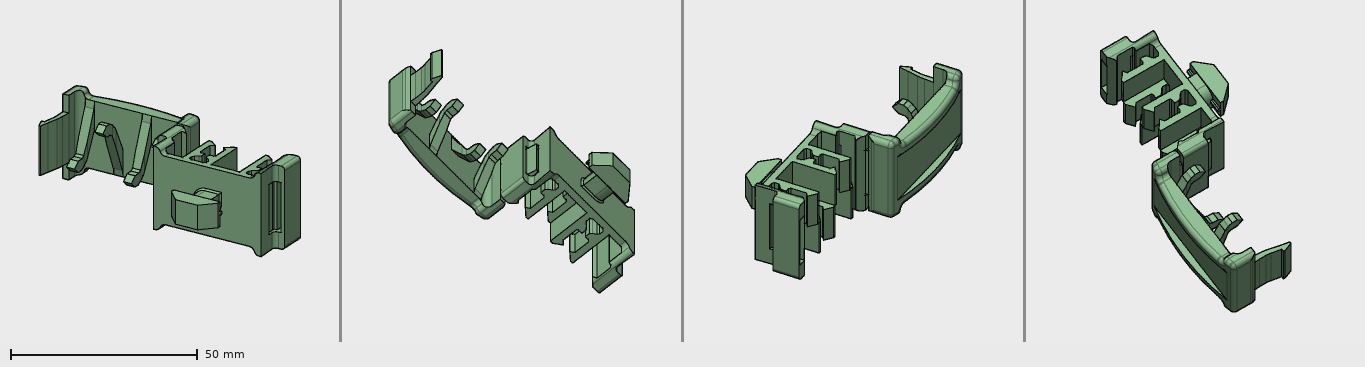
import cadquery as cq


PITCH = 9.0
MID_HALF_WIDTH = 10.05
OVERRUN = 1.0
TALL = 60.0

BASE_HALF_WIDTH = 12.2
BASE_HALF_LENGTH = 17.08
BASE_FLARE_START = 13.3
BASE_FLARE_END = 16.5
FLOOR = 2.0
RIM_HEIGHT = 15.05
LEDGE = 7.15
LIP_HEIGHT = 13.25
LIP_BOTTOM = 12.4
SHOULDER_BEVEL = 0.4

WALL_INNER = 14.85
WALL_UPPER_INNER = 15.9
LIP_TIP = 14.95
LIP_TOP = 17.1
FLOOR_BEVEL = 0.8
FLANGE_HALF_LENGTH = 20.1
FLANGE_BOTTOM = 7.05
FLANGE_CORNER = 1.1
FLANGE_ROOT_ROUND = 1.25
WALL_DRAFT = 0.23

SLOT_INNER = 17.05
SLOT_OUTER = 18.95
SLOT_ENTRY_OUTER = 19.65
SLOT_ENTRY_BOTTOM = 10.5
SLOT_HALF_WIDTH = 7.35
BARB_POCKET_INNER = 16.08
BARB_POCKET_BOTTOM = 4.3
BARB_POCKET_TOP = 8.1

NECK_HALF_LENGTH = 4.07
NECK_HALF_WIDTH = 3.2
NECK_ROUND = 3.7
NECK_FLARE = 0.5
HEAD_TOP = -5.25
HEAD_BOTTOM = -10.4
HEAD_STRAIGHT = 1.1
HEAD_HALF_LENGTH = 7.35
HEAD_TIP_HALF_LENGTH = 3.5
HEAD_HALF_WIDTH = 3.6
TOOTH_HEIGHT = 0.95
TOOTH_SIDE = 0.5
TOOTH_WIDTH = 1.2
TOOTH_TOP_WIDTH = 0.6
TOOTH_Z = 0.1

COVER_X = -36.6
COVER_TOP = 25.9
CROWN_RADIUS = 75.0
COVER_HALF_LENGTH = 20.0
COVER_HALF_WIDTH = 12.41
COVER_FLARE_START = 14.0
COVER_FLARE_END = 16.8
COVER_END_ROUND = 1.5
COVER_EDGE_ROUND = 1.4
CEILING = 20.65
CEILING_ROUND = 2.0
BACK_FLOOR = 23.8
BACK_HALF_WIDTH = 7.1

END_WALL_INNER = 17.15
END_WALL_BOTTOM = 15.72
END_WALL_FOOT = 19.1
END_BEVEL_TOP = (19.8, 16.95)
END_FACE_BOTTOM = 17.85

CLIP_HALF_WIDTH = 7.25
CLIP_BARB = 20.46
CLIP_BARB_TOP = 7.5
CLIP_BARB_BOTTOM = 6.9
CLIP_TIP = 4.4

FINGER_COUNT = 4
FINGER_ROOT_WIDTH = 2.9
FINGER_TIP_WIDTH = 2.55
FINGER_TAPER_TOP = 17.0
FINGER_TAPER_BOTTOM = 15.6
FINGER_LOWEST = 10.8


def block(x_min, x_max, y_min, y_max, half_width):
    """Box given by its X and Y limits, centred on Z = 0."""
    return cq.Workplane("XY").box(
        x_max - x_min, y_max - y_min, 2 * half_width
    ).translate(((x_min + x_max) / 2, (y_min + y_max) / 2, 0))


def mirror_x(body):
    return body.mirror("YZ")


def flared_prism(flare_start, flare_end, end_half_width, end, corner_round):
    """Tall prism with a dog-bone outline in X and Z: narrow middle, S-curved flares, wide ends."""
    flare_mid = ((flare_start + flare_end) / 2, (MID_HALF_WIDTH + end_half_width) / 2)
    quarter = (
        cq.Workplane("XZ", origin=(0, TALL / 2, 0))
        .moveTo(0, 0).lineTo(0, MID_HALF_WIDTH).lineTo(flare_start, MID_HALF_WIDTH)
        .tangentArcPoint(flare_mid, relative=False)
        .tangentArcPoint((flare_end, end_half_width), relative=False)
        .lineTo(end, end_half_width).lineTo(end, 0)
        .close().extrude(TALL)
    )
    half = quarter.union(quarter.mirror("XY"))
    prism = half.union(mirror_x(half)).clean()
    return prism.edges("|Y").edges(">X or <X").fillet(corner_round)


def base_end():
    """Right end wall with its outer flange and the retaining lip on its inner side."""
    leaned_wall = BASE_HALF_LENGTH - WALL_DRAFT
    return (
        cq.Workplane("XY", origin=(0, 0, -BASE_HALF_WIDTH))
        .moveTo(WALL_INNER - FLOOR_BEVEL, 0).lineTo(BASE_HALF_LENGTH, 0)
        .lineTo(leaned_wall, FLANGE_BOTTOM - FLANGE_ROOT_ROUND)
        .tangentArcPoint((leaned_wall + FLANGE_ROOT_ROUND, FLANGE_BOTTOM), relative=False)
        .lineTo(FLANGE_HALF_LENGTH, FLANGE_BOTTOM).lineTo(FLANGE_HALF_LENGTH, RIM_HEIGHT)
        .lineTo(LIP_TOP, RIM_HEIGHT).lineTo(LIP_TIP, LIP_HEIGHT)
        .lineTo(WALL_UPPER_INNER, LIP_BOTTOM).lineTo(WALL_UPPER_INNER, LEDGE + SHOULDER_BEVEL)
        .lineTo(WALL_UPPER_INNER - SHOULDER_BEVEL, LEDGE).lineTo(WALL_INNER, LEDGE)
        .lineTo(WALL_INNER, FLOOR + FLOOR_BEVEL).lineTo(WALL_INNER - FLOOR_BEVEL, FLOOR)
        .close().extrude(2 * BASE_HALF_WIDTH)
    )


def snap_slot():
    slot = block(SLOT_INNER, SLOT_OUTER, BARB_POCKET_BOTTOM, RIM_HEIGHT + OVERRUN, SLOT_HALF_WIDTH)
    entry = block(SLOT_INNER, SLOT_ENTRY_OUTER, SLOT_ENTRY_BOTTOM, RIM_HEIGHT + OVERRUN, SLOT_HALF_WIDTH)
    pocket = block(BARB_POCKET_INNER, SLOT_OUTER, BARB_POCKET_BOTTOM, BARB_POCKET_TOP, SLOT_HALF_WIDTH)
    return slot.union(entry).union(pocket)


def half_rib(center, side, z_start):
    """Rib profile on one side of its flat middle plane, over half the width of the base."""
    root = FLOOR - OVERRUN
    stem = 2.05
    profile = [
        (0, root), (2.6, root), (2.6, FLOOR), (1.85, 2.5), (1.85, 3.7), (2.3, 4.3), (3.3, 5.0), (3.8, 5.6),
        (3.8, LEDGE), (stem + SHOULDER_BEVEL, LEDGE), (stem, LEDGE + SHOULDER_BEVEL), (stem, LIP_BOTTOM),
        (3.2, LIP_HEIGHT), (0.9, RIM_HEIGHT), (0, RIM_HEIGHT),
    ]
    return (
        cq.Workplane("XY", origin=(center, 0, z_start))
        .polyline([(side * x, y) for x, y in profile]).close()
        .extrude(MID_HALF_WIDTH)
    )


def neck_outline(growth):
    """Rectangle with two opposite corners rounded, so that the foot can be turned to lock."""
    half_length = NECK_HALF_LENGTH + growth
    half_width = NECK_HALF_WIDTH + growth
    rounding = NECK_ROUND + growth
    return (
        cq.Workplane("XZ")
        .moveTo(-half_length, -half_width).lineTo(half_length - rounding, -half_width)
        .tangentArcPoint((half_length, rounding - half_width), relative=False)
        .lineTo(half_length, half_width).lineTo(rounding - half_length, half_width)
        .tangentArcPoint((-half_length, half_width - rounding), relative=False)
        .close()
    )


def foot_neck():
    """Neck of the foot, flaring out where it meets the floor."""
    flare = neck_outline(NECK_FLARE).extrude(NECK_FLARE, taper=45)
    return neck_outline(0).extrude(-HEAD_TOP).union(flare)


def foot_head():
    """Head of the foot, with slanted ends."""
    shoulder = HEAD_TOP - HEAD_STRAIGHT
    return (
        cq.Workplane("XY", origin=(0, 0, -HEAD_HALF_WIDTH))
        .moveTo(-HEAD_HALF_LENGTH, HEAD_TOP).lineTo(HEAD_HALF_LENGTH, HEAD_TOP)
        .lineTo(HEAD_HALF_LENGTH, shoulder).lineTo(HEAD_TIP_HALF_LENGTH, HEAD_BOTTOM)
        .lineTo(-HEAD_TIP_HALF_LENGTH, HEAD_BOTTOM).lineTo(-HEAD_HALF_LENGTH, shoulder)
        .close().extrude(2 * HEAD_HALF_WIDTH)
    )


def foot_tooth():
    """Small bevelled ridge along the top of the head."""
    return (
        cq.Workplane("YZ", origin=(-HEAD_HALF_LENGTH, 0, TOOTH_Z))
        .moveTo(HEAD_TOP, -TOOTH_WIDTH / 2).lineTo(HEAD_TOP + TOOTH_SIDE, -TOOTH_WIDTH / 2)
        .lineTo(HEAD_TOP + TOOTH_HEIGHT, -TOOTH_TOP_WIDTH / 2)
        .lineTo(HEAD_TOP + TOOTH_HEIGHT, TOOTH_TOP_WIDTH / 2)
        .lineTo(HEAD_TOP + TOOTH_SIDE, TOOTH_WIDTH / 2).lineTo(HEAD_TOP, TOOTH_WIDTH / 2)
        .close().extrude(2 * HEAD_HALF_LENGTH)
    )


def make_base():
    end = base_end().cut(snap_slot())
    body = block(-WALL_INNER, WALL_INNER, 0, FLOOR, BASE_HALF_WIDTH).union(end).union(mirror_x(end))
    body = body.intersect(
        flared_prism(BASE_FLARE_START, BASE_FLARE_END, BASE_HALF_WIDTH, FLANGE_HALF_LENGTH, FLANGE_CORNER)
    )
    for step, upper_side in ((-1, 1), (0, -1), (1, 1)):
        body = body.union(half_rib(step * PITCH, upper_side, 0))
        body = body.union(half_rib(step * PITCH, -upper_side, -MID_HALF_WIDTH))
    return body.union(foot_neck()).union(foot_head()).union(foot_tooth())


def cover_shell():
    """Crowned cover with rounded outer edges, hollowed between its two end walls."""
    crown_drop = CROWN_RADIUS - (CROWN_RADIUS**2 - COVER_HALF_LENGTH**2) ** 0.5
    end_height = COVER_TOP - crown_drop
    bevel_x, bevel_y = END_BEVEL_TOP
    solid = (
        cq.Workplane("XY", origin=(0, 0, -COVER_HALF_WIDTH))
        .moveTo(-COVER_HALF_LENGTH, end_height)
        .threePointArc((0, COVER_TOP), (COVER_HALF_LENGTH, end_height))
        .lineTo(COVER_HALF_LENGTH, END_FACE_BOTTOM).lineTo(bevel_x, bevel_y)
        .lineTo(END_WALL_FOOT, END_WALL_BOTTOM).lineTo(-END_WALL_FOOT, END_WALL_BOTTOM)
        .lineTo(-bevel_x, bevel_y).lineTo(-COVER_HALF_LENGTH, END_FACE_BOTTOM)
        .close().extrude(2 * COVER_HALF_WIDTH)
    )
    solid = solid.intersect(
        flared_prism(COVER_FLARE_START, COVER_FLARE_END, COVER_HALF_WIDTH, COVER_HALF_LENGTH, COVER_END_ROUND)
    )
    solid = solid.faces(">Y").edges().fillet(COVER_EDGE_ROUND)
    hollow = block(-END_WALL_INNER, END_WALL_INNER, END_WALL_BOTTOM - OVERRUN, CEILING, TALL / 2)
    hollow = hollow.edges("|Z and >Y").fillet(CEILING_ROUND)
    back = block(-COVER_HALF_LENGTH, COVER_HALF_LENGTH, BACK_FLOOR, COVER_TOP + OVERRUN, BACK_HALF_WIDTH)
    return solid.cut(hollow).cut(back)


def clip():
    """Right-hand snap clip: a curved tongue below the end wall, ending in an outward barb."""
    return (
        cq.Workplane("XY", origin=(0, 0, -CLIP_HALF_WIDTH))
        .moveTo(END_WALL_INNER, END_WALL_BOTTOM).lineTo(END_WALL_FOOT, END_WALL_BOTTOM)
        .threePointArc((19.0, 15.0), (18.93, 14.1)).lineTo(18.93, 12.0)
        .tangentArcPoint((19.1, 10.6), relative=False).lineTo(19.65, CLIP_BARB_TOP)
        .lineTo(CLIP_BARB, CLIP_BARB_TOP).lineTo(CLIP_BARB, CLIP_BARB_BOTTOM)
        .lineTo(19.5, CLIP_TIP).lineTo(18.95, CLIP_TIP)
        .lineTo(18.4, 7.3).lineTo(17.65, 10.6)
        .tangentArcPoint((17.35, 12.9), relative=False)
        .close().extrude(2 * CLIP_HALF_WIDTH)
    )


def finger(x, direction):
    """Slanted pressing finger; direction +1 roots it at the +Z edge and -1 at the -Z edge."""
    root = CEILING + OVERRUN
    profile = [
        (MID_HALF_WIDTH, root), (MID_HALF_WIDTH, CEILING), (7.95, 20.25), (-3.95, 15.45), (-4.5, 14.6),
        (-4.6, 12.7), (-6.2, FINGER_LOWEST), (-7.9, 12.6), (-7.9, 14.2), (-7.2, 15.4), (-6.0, 16.6),
        (2.0, CEILING), (2.0, root),
    ]
    slanted = (
        cq.Workplane("YZ", origin=(x - FINGER_ROOT_WIDTH / 2, 0, 0))
        .polyline([(y, direction * z) for z, y in profile]).close()
        .extrude(FINGER_ROOT_WIDTH)
    )
    half_root = FINGER_ROOT_WIDTH / 2
    half_tip = FINGER_TIP_WIDTH / 2
    taper = (
        cq.Workplane("XY", origin=(x, 0, -MID_HALF_WIDTH))
        .moveTo(-half_root, root).lineTo(half_root, root).lineTo(half_root, FINGER_TAPER_TOP)
        .lineTo(half_tip, FINGER_TAPER_BOTTOM).lineTo(half_tip, FINGER_LOWEST)
        .lineTo(-half_tip, FINGER_LOWEST).lineTo(-half_tip, FINGER_TAPER_BOTTOM)
        .lineTo(-half_root, FINGER_TAPER_TOP)
        .close().extrude(2 * MID_HALF_WIDTH)
    )
    return slanted.intersect(taper)


def make_cover():
    body = cover_shell().union(clip()).union(mirror_x(clip()))
    for index in range(FINGER_COUNT):
        x = (index - (FINGER_COUNT - 1) / 2) * PITCH
        body = body.union(finger(x, (-1) ** index))
    return body.translate((COVER_X, 0, 0))


base = make_base()
cover = make_cover()
result = cq.Compound.makeCompound([base.val(), cover.val()])